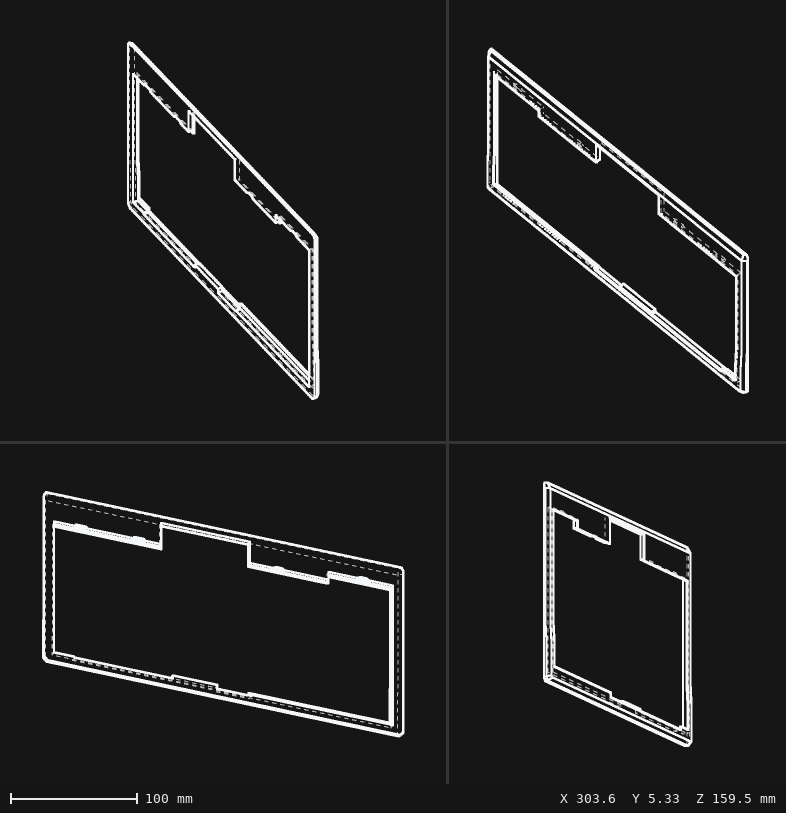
import cadquery as cq
import math

length = 303.6
height = 159.53
thickness = 5.33

upper_thickness = 4.35
blend_top = -25.2
blend_bottom = -53.8

bevel = 3.0
top_bevel_height = 4.9
top_straight_edge = 1.8
corner_cut = 3.1
top_corner_run = 3.1

lip_thickness = 1.0
lip_setback = thickness - lip_thickness

left_front, left_lip = -143.3, -142.4
right_front, right_lip = 142.9, 142.0
left_tab_front, left_tab_lip = -53.0, -51.3
right_tab_start = 22.0
right_tab_front, right_tab_lip = 88.7, 89.6
left_ledge_end = -126.1
pad_start, pad_end = -43.0, -5.5
right_ledge_start = 22.9

cutout_top = 73.6
left_tab_bottom_front, left_tab_bottom_lip = 53.5, 51.7
right_tab_bottom_front, right_tab_bottom_lip = 53.5, 52.6
right_top_front, right_top_lip = 60.9, 59.1
left_ledge_front, left_ledge_lip = -70.9, -68.1
middle_front = -71.8
pad_top = -69.0
gap_front = -72.7
low_lip = -70.9
right_ledge_front, right_ledge_lip = -71.8, -67.2
ledge_slant = 0.9

notch_width = 9.8
notch_height = 1.5
notch_depth = 2.0
long_notch, short_notch = 8.4, 4.6
notches = [
    (-120.5, left_tab_bottom_front, long_notch),
    (-71.4, left_tab_bottom_front, long_notch),
    (46.6, right_tab_bottom_front, short_notch),
    (117.9, right_top_front, short_notch),
]


def through_y(outline, depth):
    """Extrude an (x, z) outline from the front face toward the back."""
    return cq.Workplane("XZ").polyline(outline).close().extrude(-depth)


def blend_points():
    """Midpoints of both arcs of the back blend and the point where they meet."""
    span = (blend_top - blend_bottom) / 2
    rise = (thickness - upper_thickness) / 2
    radius = (span**2 + rise**2) / (2 * rise)
    half_angle = math.asin(span / radius) / 2
    along = radius * math.sin(half_angle)
    across = radius * (1 - math.cos(half_angle))
    upper_mid = (upper_thickness + across, blend_top - along)
    joint = (upper_thickness + rise, blend_top - span)
    lower_mid = (thickness - across, blend_bottom + along)
    return upper_mid, joint, lower_mid


def stepped_slab(y_offset):
    """Slab along X with the stepped back moved by y_offset and a bevel along its top back edge."""
    upper_mid, joint, lower_mid = blend_points()
    top = height / 2
    slab = (
        cq.Workplane("YZ", origin=(-length / 2, 0, 0))
        .moveTo(0, -top)
        .lineTo(0, top)
        .lineTo(top_straight_edge, top)
        .lineTo(upper_thickness, top - top_bevel_height)
        .lineTo(upper_thickness, blend_top)
        .threePointArc(upper_mid, joint)
        .threePointArc(lower_mid, (thickness, blend_bottom))
        .lineTo(thickness, -top)
        .close()
        .extrude(length)
    )
    return slab.translate((0, y_offset, 0))


def is_back_rim(edge):
    """True for the back edges along both sides, the bottom and the bottom corners."""
    middle = edge.Center()
    at_back = middle.y > upper_thickness - bevel / 4
    at_side = abs(middle.x) > length / 2 - corner_cut
    at_bottom = middle.z < corner_cut - height / 2
    return at_back and (at_side or at_bottom)


def corner_cutter(side):
    """Block whose flat face cuts one top corner (side is -1 or 1) back to where the bevels meet."""
    outward = cq.Vector(side / bevel, 1 / top_corner_run, 1 / top_bevel_height)
    meeting_point = (side * (length / 2 - bevel), upper_thickness, height / 2 - top_bevel_height)
    face = cq.Plane(origin=meeting_point, normal=outward)
    block_size = 4 * thickness
    return cq.Workplane(face).rect(block_size, block_size).extrude(block_size)


def make_plate():
    """Plate with the stepped back, cut corners and bevelled back rim."""
    plate = stepped_slab(0)
    plate = plate.edges("|Y and <Z").chamfer(corner_cut)
    plate = plate.edges().filter(is_back_rim).chamfer(bevel)
    for side in (-1, 1):
        plate = plate.cut(corner_cutter(side))
    return plate


def lip_outline():
    """Clear opening through the whole part, inside the lip."""
    return [
        (left_lip, left_ledge_lip),
        (left_lip, left_tab_bottom_lip),
        (left_tab_lip, left_tab_bottom_lip),
        (left_tab_lip, cutout_top),
        (right_tab_start, cutout_top),
        (right_tab_start, right_tab_bottom_lip),
        (right_tab_lip, right_tab_bottom_lip),
        (right_tab_lip, right_top_lip),
        (right_lip, right_top_lip),
        (right_lip, right_ledge_lip),
        (right_ledge_start, right_ledge_lip),
        (right_ledge_start - ledge_slant, low_lip),
        (left_ledge_end, low_lip),
        (left_ledge_end, left_ledge_lip),
    ]


def front_outline():
    """Opening in the front face, recessed back to the lip."""
    return [
        (left_front, left_ledge_front),
        (left_front, left_tab_bottom_front),
        (left_tab_front, left_tab_bottom_front),
        (left_tab_front, cutout_top),
        (right_tab_start, cutout_top),
        (right_tab_start, right_tab_bottom_front),
        (right_tab_front, right_tab_bottom_front),
        (right_tab_front, right_top_front),
        (right_front, right_top_front),
        (right_front, right_ledge_front),
        (right_ledge_start + ledge_slant, right_ledge_front),
        (right_ledge_start, gap_front),
        (pad_end, gap_front),
        (pad_end, middle_front),
        (left_ledge_end, middle_front),
        (left_ledge_end - ledge_slant, left_ledge_front),
    ]


def notch(center_x, edge_z, top_width):
    """Shallow trapezoidal cutter rising from a tab's front edge."""
    top_z = edge_z + notch_height
    outline = [
        (center_x - notch_width / 2, edge_z),
        (center_x - top_width / 2, top_z),
        (center_x + top_width / 2, top_z),
        (center_x + notch_width / 2, edge_z),
    ]
    return through_y(outline, notch_depth)


def pad():
    """Block on the bottom rail, flush with the front and ending at the lip."""
    return cq.Workplane().box(
        pad_end - pad_start, lip_setback, pad_top - gap_front, centered=False
    ).translate((pad_start, 0, gap_front))


front_recess = through_y(front_outline(), thickness).intersect(stepped_slab(-lip_thickness))
result = make_plate()
result = result.cut(through_y(lip_outline(), thickness))
result = result.cut(front_recess)
result = result.union(pad())
for center_x, edge_z, top_width in notches:
    result = result.cut(notch(center_x, edge_z, top_width))